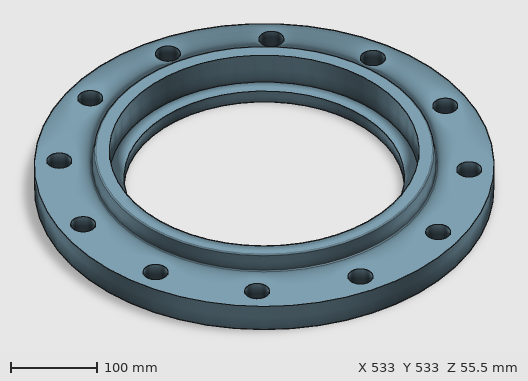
import cadquery as cq

FLANGE_DIAMETER = 533.0
FLANGE_THICKNESS = 34.0
TOTAL_HEIGHT = 55.5

HUB_FOOT_DIAMETER = 400.0
HUB_TOP_DIAMETER = 393.5
HUB_FOOT_FILLET = 1.5
HUB_TOP_ROUND = 1.5

BORE_DIAMETER = 325.5
SOCKET_DIAMETER = 359.5
LEDGE_HEIGHT = 16.0

BOLT_COUNT = 12
BOLT_CIRCLE_DIAMETER = 475.5
BOLT_HOLE_DIAMETER = 29.0


def flange_disc():
    return cq.Workplane("XY").circle(FLANGE_DIAMETER / 2).extrude(FLANGE_THICKNESS)


def hub():
    """Solid cone frustum standing on the flange disc."""
    foot = cq.Workplane("XY").workplane(offset=FLANGE_THICKNESS).circle(HUB_FOOT_DIAMETER / 2)
    top = foot.workplane(offset=TOTAL_HEIGHT - FLANGE_THICKNESS).circle(HUB_TOP_DIAMETER / 2)
    return top.loft(combine=True)


def stepped_bore():
    bore = cq.Workplane("XY").circle(BORE_DIAMETER / 2).extrude(TOTAL_HEIGHT)
    socket = (
        cq.Workplane("XY")
        .workplane(offset=LEDGE_HEIGHT)
        .circle(SOCKET_DIAMETER / 2)
        .extrude(TOTAL_HEIGHT - LEDGE_HEIGHT)
    )
    return bore.union(socket)


def bolt_holes():
    """Through holes, evenly spaced with the first one on the X axis."""
    return (
        cq.Workplane("XY")
        .polarArray(BOLT_CIRCLE_DIAMETER / 2, 0, 360, BOLT_COUNT)
        .circle(BOLT_HOLE_DIAMETER / 2)
        .extrude(FLANGE_THICKNESS)
    )


body = flange_disc().union(hub())
body = body.edges(cq.selectors.RadiusNthSelector(1)).fillet(HUB_FOOT_FILLET)
body = body.faces(">Z").edges().fillet(HUB_TOP_ROUND)
result = body.cut(stepped_bore()).cut(bolt_holes())